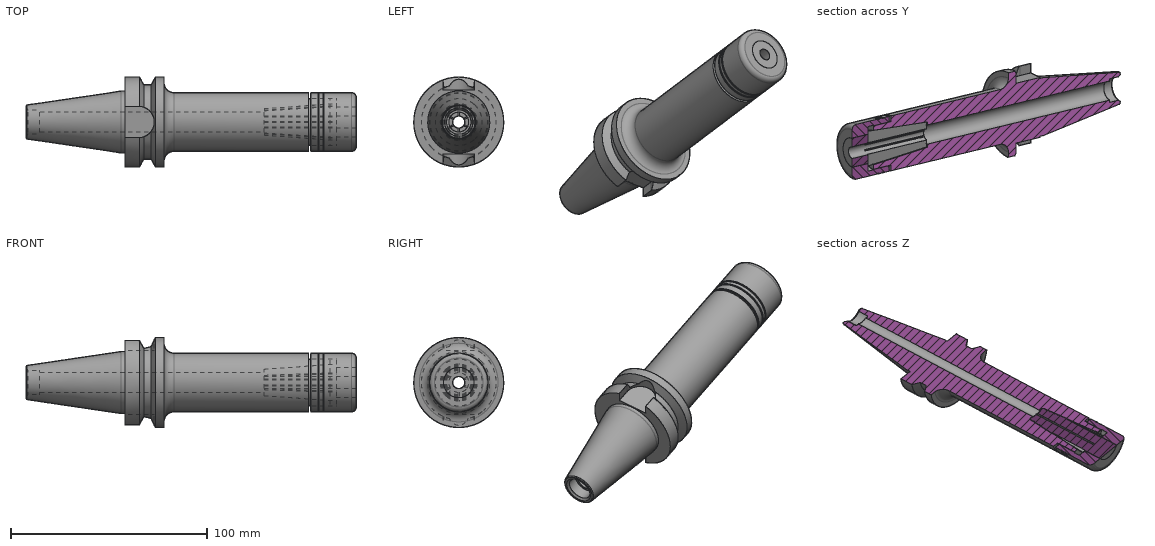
import cadquery as cq
import math


GAUGE_X = 48.3
TAPER_SMALL_R = 8.8
TAPER_LARGE_R = 15.8
TAPER_EDGE_CHAMFER = 0.5

FLANGE_X = 50.4
FLANGE_END_X = 70.4
FLANGE_R = 46.0 / 2
V_START_X = 57.8
V_END_X = 66.0
V_FLOOR_R = 19.0
V_HALF_ANGLE = 30
DRIVE_SLOT_WIDTH = 16.0
DRIVE_SLOT_END_X = 65.3
DRIVE_SLOT_FLOOR = 16.3

BODY_R = 15.0
BODY_FILLET = 5.0
BODY_END_X = 144.0
SPIGOT_R = 12.0
SPIGOT_END_X = 155.0

MOUTH_R = 7.2
REAR_BORE_R = 6.2
REAR_BORE_DEPTH = 6.7
THROUGH_R = 5.0

NUT_GAP = 1.0
NUT_X = BODY_END_X + NUT_GAP
NUT_END_X = 168.4
NUT_REAR_CHAMFER = 0.3
NUT_EDGE_R = 2.5
NUT_SHOULDER_X = 158.3
NUT_GROOVE_WIDTH = 0.5
NUT_GROOVE_DEPTH = 0.3
NUT_GROOVES_X = (148.9, 151.4)

COLLET_X = 121.2
COLLET_REAR_R = 6.7
COLLET_FRONT_R = 9.5
COLLET_NOSE_R = 7.7
COLLET_BORE_R = 3.0
SLIT_COUNT = 6
SLIT_WIDTH = 0.7
SLIT_END_X = NUT_SHOULDER_X


def revolve(profile):
    """Turn a closed profile, drawn in the XZ plane, around the X axis."""
    return profile.close().revolve(360, (0, 0, 0), (1, 0, 0))


def turned(points):
    """Turn a straight-sided (x, radius) outline around the X axis."""
    return revolve(cq.Workplane("XZ").polyline(points))


def ring(x, width, inner_r, outer_r):
    """A ring of rectangular section, or a disc if inner_r is 0, whose rear face lies at x."""
    return turned([(x, inner_r), (x + width, inner_r), (x + width, outer_r), (x, outer_r)])


def collet_blank():
    """The collet without bore and slits; it also shapes its seats in the holder and nut."""
    return turned([
        (COLLET_X, 0),
        (COLLET_X, COLLET_REAR_R),
        (NUT_SHOULDER_X, COLLET_FRONT_R),
        (NUT_SHOULDER_X, COLLET_NOSE_R),
        (NUT_END_X, COLLET_NOSE_R),
        (NUT_END_X, 0),
    ])


def holder_blank():
    v_run = (FLANGE_R - V_FLOOR_R) * math.tan(math.radians(V_HALF_ANGLE))
    fillet_mid = BODY_FILLET * (1 - math.sqrt(0.5))
    profile = (
        cq.Workplane("XZ")
        .moveTo(0, 0)
        .lineTo(0, TAPER_SMALL_R - TAPER_EDGE_CHAMFER)
        .lineTo(TAPER_EDGE_CHAMFER, TAPER_SMALL_R)
        .lineTo(GAUGE_X, TAPER_LARGE_R)
        .lineTo(FLANGE_X, TAPER_LARGE_R)
        .lineTo(FLANGE_X, FLANGE_R)
        .lineTo(V_START_X, FLANGE_R)
        .lineTo(V_START_X + v_run, V_FLOOR_R)
        .lineTo(V_END_X - v_run, V_FLOOR_R)
        .lineTo(V_END_X, FLANGE_R)
        .lineTo(FLANGE_END_X, FLANGE_R)
        .lineTo(FLANGE_END_X, BODY_R + BODY_FILLET)
        .threePointArc(
            (FLANGE_END_X + fillet_mid, BODY_R + fillet_mid),
            (FLANGE_END_X + BODY_FILLET, BODY_R),
        )
        .lineTo(BODY_END_X, BODY_R)
        .lineTo(BODY_END_X, SPIGOT_R)
        .lineTo(SPIGOT_END_X, SPIGOT_R)
        .lineTo(SPIGOT_END_X, 0)
    )
    return revolve(profile)


def rear_bore():
    """Chamfered rear bore, continued by a smaller hole up to the collet."""
    return turned([
        (0, 0),
        (0, MOUTH_R),
        (MOUTH_R - REAR_BORE_R, REAR_BORE_R),
        (REAR_BORE_DEPTH, REAR_BORE_R),
        (REAR_BORE_DEPTH, THROUGH_R),
        (COLLET_X, THROUGH_R),
        (COLLET_X, 0),
    ])


def drive_slot(side):
    """Round-ended slot through the flange rim; side is +1 for the top and -1 for the bottom."""
    end_r = DRIVE_SLOT_WIDTH / 2
    arc_x = DRIVE_SLOT_END_X - end_r
    return (
        cq.Workplane("XY")
        .workplane(offset=side * DRIVE_SLOT_FLOOR)
        .moveTo(FLANGE_X, -end_r)
        .lineTo(arc_x, -end_r)
        .threePointArc((DRIVE_SLOT_END_X, 0), (arc_x, end_r))
        .lineTo(FLANGE_X, end_r)
        .close()
        .extrude(side * (FLANGE_R - DRIVE_SLOT_FLOOR))
    )


def make_holder():
    holder = holder_blank().cut(rear_bore()).cut(collet_blank())
    for side in (1, -1):
        holder = holder.cut(drive_slot(side))
    return holder


def make_nut():
    edge_mid = NUT_EDGE_R * (1 - math.sqrt(0.5))
    profile = (
        cq.Workplane("XZ")
        .moveTo(NUT_X, SPIGOT_R)
        .lineTo(NUT_X, BODY_R - NUT_REAR_CHAMFER)
        .lineTo(NUT_X + NUT_REAR_CHAMFER, BODY_R)
        .lineTo(NUT_END_X - NUT_EDGE_R, BODY_R)
        .threePointArc(
            (NUT_END_X - edge_mid, BODY_R - edge_mid),
            (NUT_END_X, BODY_R - NUT_EDGE_R),
        )
        .lineTo(NUT_END_X, COLLET_NOSE_R)
        .lineTo(NUT_SHOULDER_X, COLLET_NOSE_R)
        .lineTo(NUT_SHOULDER_X, SPIGOT_R)
    )
    nut = revolve(profile)
    for x in NUT_GROOVES_X:
        nut = nut.cut(ring(x, NUT_GROOVE_WIDTH, BODY_R - NUT_GROOVE_DEPTH, BODY_R))
    return nut


def slit(angle):
    """Radial slit from the rear of the collet, turned by angle about the axis."""
    return (
        cq.Workplane("XY")
        .box(SLIT_END_X - COLLET_X, SLIT_WIDTH, COLLET_FRONT_R, centered=(False, True, False))
        .translate((COLLET_X, 0, 0))
        .rotate((0, 0, 0), (1, 0, 0), angle)
    )


def make_collet():
    bore = ring(COLLET_X, NUT_END_X - COLLET_X, 0, COLLET_BORE_R)
    collet = collet_blank().cut(bore)
    for i in range(SLIT_COUNT):
        collet = collet.cut(slit(i * 360 / SLIT_COUNT))
    return collet


holder = make_holder()
nut = make_nut()
collet = make_collet()

result = cq.Compound.makeCompound([holder.val(), nut.val(), collet.val()])